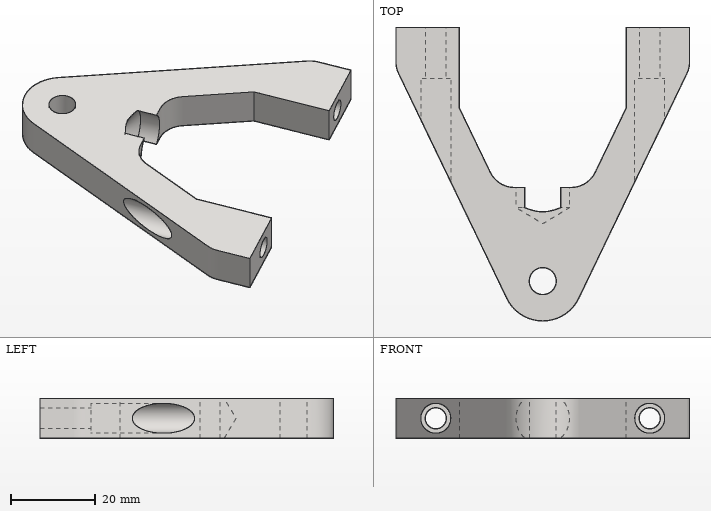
import cadquery as cq
import math

thickness = 9.5
pivot_radius = 9.5
pivot_hole_diameter = 6.35
arm_end_y = 60.3

half_width = 34.9
arm_width = 15.1
flank_angle = math.radians(25.7)
bend_radius = 6.35

opening_half_width = half_width - arm_width
opening_bend_y = 41.2
opening_floor_y = 22.3

drill_radius = 6.35
drill_shoulder_y = 17.45
drill_tip_angle = math.radians(118)

bolt_x = 25.4
bolt_diameter = 4.95
counterbore_diameter = 7.1
counterbore_floor_y = 48.2


def make_outline():
    """Tapered body, tangent to the round pivot end."""
    tangent_x = pivot_radius * math.cos(flank_angle)
    tangent_y = -pivot_radius * math.sin(flank_angle)
    shoulder_y = tangent_y + (half_width - tangent_x) / math.tan(flank_angle)
    body = (
        cq.Workplane("XY")
        .moveTo(-half_width, arm_end_y)
        .lineTo(-half_width, shoulder_y)
        .lineTo(-tangent_x, tangent_y)
        .threePointArc((0, -pivot_radius), (tangent_x, tangent_y))
        .lineTo(half_width, shoulder_y)
        .lineTo(half_width, arm_end_y)
        .close()
        .extrude(thickness)
    )
    shoulders = [(side * half_width, shoulder_y, thickness / 2) for side in (-1, 1)]
    for shoulder in shoulders:
        body = body.edges(cq.NearestToPointSelector(shoulder)).fillet(bend_radius)
    return body


def make_opening():
    """Open space between the arms, with rounded floor corners."""
    floor_half_width = opening_half_width - (opening_bend_y - opening_floor_y) * math.tan(flank_angle)
    opening = (
        cq.Workplane("XY")
        .moveTo(-opening_half_width, arm_end_y)
        .lineTo(-opening_half_width, opening_bend_y)
        .lineTo(-floor_half_width, opening_floor_y)
        .lineTo(floor_half_width, opening_floor_y)
        .lineTo(opening_half_width, opening_bend_y)
        .lineTo(opening_half_width, arm_end_y)
        .close()
        .extrude(thickness)
    )
    return opening.faces("<Y").edges("|Z").fillet(bend_radius)


def make_drill_pocket():
    """Cylinder along Y with a conical end, revolved about its axis."""
    tip_y = drill_shoulder_y - drill_radius / math.tan(drill_tip_angle / 2)
    return (
        cq.Workplane("XY", origin=(0, 0, thickness / 2))
        .moveTo(0, tip_y)
        .lineTo(drill_radius, drill_shoulder_y)
        .lineTo(drill_radius, arm_end_y)
        .lineTo(0, arm_end_y)
        .close()
        .revolve(360, (0, 0, 0), (0, 1, 0))
    )


def make_bore(x, diameter, end_y):
    """Cylinder along +Y, from the pivot axis to end_y at mid thickness."""
    start = cq.Vector(x, 0, thickness / 2)
    return cq.Workplane(cq.Solid.makeCylinder(diameter / 2, end_y, start, cq.Vector(0, 1, 0)))


pivot_hole = cq.Workplane("XY").circle(pivot_hole_diameter / 2).extrude(thickness)

result = make_outline().cut(make_opening()).cut(make_drill_pocket()).cut(pivot_hole)
for bore_x in (-bolt_x, bolt_x):
    result = result.cut(make_bore(bore_x, bolt_diameter, arm_end_y))
    result = result.cut(make_bore(bore_x, counterbore_diameter, counterbore_floor_y))